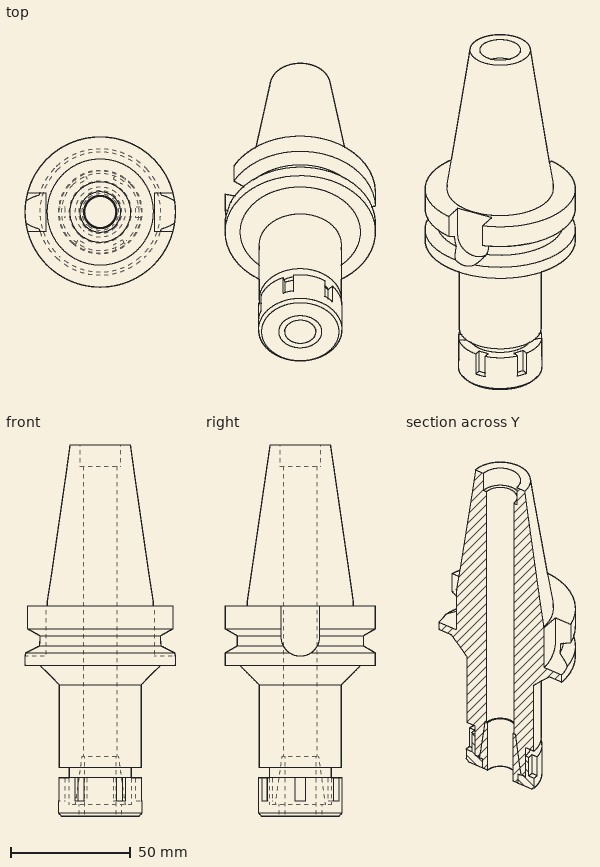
import cadquery as cq
import math


gauge_dia = 44.45
taper_length = 65.4
taper_ratio = 7 / 24
taper_top_dia = gauge_dia - taper_length * taper_ratio

flange_dia = 63.0
flange_top_z = -2.0
flange_bottom_z = -27.0
groove_center_z = -16.6
groove_width = 10.0
groove_floor_dia = 53.0
groove_flank_angle = 30.0
groove_depth = (flange_dia - groove_floor_dia) / 2
groove_flank_height = groove_depth * math.tan(math.radians(groove_flank_angle))
groove_top_z = groove_center_z + groove_width / 2
groove_bottom_z = groove_center_z - groove_width / 2

slot_width = 16.1
slot_floor_x = 22.6
slot_bottom_z = -23.0

shank_dia = 34.4
cone_top_dia = 50.4
cone_height = (cone_top_dia - shank_dia) / 2
shank_top_z = flange_bottom_z - cone_height
shank_bottom_z = -69.6
nose_dia = 26.0
nose_bottom_z = -85.0

counterbore_dia = 17.0
counterbore_depth = 9.0
bore_dia = 14.0

nut_dia = 35.0
nut_top_z = -73.8
nut_bottom_z = -90.0
nut_chamfer = 1.3
wrench_slot_count = 6
wrench_slot_width = 4.4
wrench_slot_length = 9.8
wrench_slot_floor = 14.7

collet_dia = 21.0
collet_bore_dia = 13.0
collet_taper_length = 20.0
collet_taper_angle = 8.0
collet_face_dia = 18.0
collet_top_z = nose_bottom_z + collet_taper_length
collet_top_dia = collet_dia - 2 * collet_taper_length * math.tan(math.radians(collet_taper_angle))

radial_plane = cq.Plane(origin=(0, 0, 0), xDir=(0, -1, 0), normal=(-1, 0, 0))


def turned(profile):
    """Revolve a closed outline of (diameter, z) points about the Z axis."""
    points = [(diameter / 2, z) for diameter, z in profile]
    return cq.Workplane(radial_plane).polyline(points).close().revolve(360, (0, 0), (0, 1))


def make_drive_slot(side):
    """Cutter for one round-ended drive slot, on the +X (side = 1) or -X (side = -1) edge."""
    slot_radius = slot_width / 2
    return (
        cq.Workplane("YZ", origin=(side * slot_floor_x, 0, 0))
        .moveTo(-slot_radius, flange_top_z)
        .lineTo(-slot_radius, slot_bottom_z + slot_radius)
        .threePointArc((0, slot_bottom_z), (slot_radius, slot_bottom_z + slot_radius))
        .lineTo(slot_radius, flange_top_z)
        .close()
        .extrude(side * (flange_dia / 2))
    )


def make_holder():
    body = turned([
        (counterbore_dia, taper_length),
        (taper_top_dia, taper_length),
        (gauge_dia, 0),
        (gauge_dia, flange_top_z),
        (flange_dia, flange_top_z),
        (flange_dia, groove_top_z),
        (groove_floor_dia, groove_top_z - groove_flank_height),
        (groove_floor_dia, groove_bottom_z + groove_flank_height),
        (flange_dia, groove_bottom_z),
        (flange_dia, flange_bottom_z),
        (cone_top_dia, flange_bottom_z),
        (shank_dia, shank_top_z),
        (shank_dia, shank_bottom_z),
        (nose_dia, shank_bottom_z),
        (nose_dia, nose_bottom_z),
        (collet_dia, nose_bottom_z),
        (collet_top_dia, collet_top_z),
        (bore_dia, collet_top_z),
        (bore_dia, taper_length - counterbore_depth),
        (counterbore_dia, taper_length - counterbore_depth),
    ])
    for side in (-1, 1):
        body = body.cut(make_drive_slot(side))
    return body


def make_wrench_slot(angle):
    """Cutter for one wrench slot, open at the top and the outside of the nut."""
    return (
        cq.Workplane("XY", origin=(0, 0, nut_top_z - wrench_slot_length))
        .moveTo(wrench_slot_floor, 0)
        .rect(nut_dia / 2, wrench_slot_width, centered=(False, True))
        .extrude(wrench_slot_length)
        .rotate((0, 0, 0), (0, 0, 1), angle)
    )


def make_nut():
    body = turned([
        (nose_dia, nut_top_z),
        (nut_dia, nut_top_z),
        (nut_dia, nut_bottom_z + nut_chamfer),
        (nut_dia - 2 * nut_chamfer, nut_bottom_z),
        (collet_face_dia, nut_bottom_z),
        (collet_face_dia, nose_bottom_z),
        (nose_dia, nose_bottom_z),
    ])
    for index in range(wrench_slot_count):
        body = body.cut(make_wrench_slot(index * 360 / wrench_slot_count))
    return body


def make_collet():
    return turned([
        (collet_bore_dia, collet_top_z),
        (collet_top_dia, collet_top_z),
        (collet_dia, nose_bottom_z),
        (collet_face_dia, nose_bottom_z),
        (collet_face_dia, nut_bottom_z),
        (collet_bore_dia, nut_bottom_z),
    ])


holder = make_holder()
nut = make_nut()
collet = make_collet()

result = cq.Compound.makeCompound([holder.val(), nut.val(), collet.val()])